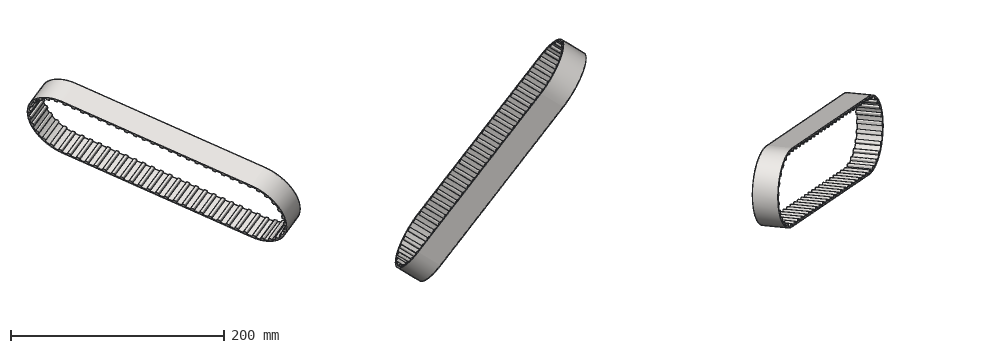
import cadquery as cq
import math

loop_length = 280.5
loop_height = 76.3
belt_width = 25.5

backing_thickness = 1.7
tooth_height = 1.9
tooth_root_width = 4.2
tooth_flank_angle = 20.0
tooth_tip_radius = 0.5
tooth_count = 67

tooth_embed = 0.3

straight_length = loop_length - loop_height
root_radius = loop_height / 2 - backing_thickness
bend_length = math.pi * root_radius
root_line_length = 2 * (straight_length + bend_length)
tooth_pitch = root_line_length / tooth_count
tooth_tip_width = tooth_root_width - 2 * tooth_height * math.tan(math.radians(tooth_flank_angle))


def make_backing():
    """Smooth stadium-shaped band, centred on the origin."""
    inner_height = 2 * root_radius
    return (
        cq.Workplane("XZ")
        .slot2D(loop_length, loop_height)
        .slot2D(straight_length + inner_height, inner_height)
        .extrude(belt_width / 2, both=True)
    )


def make_tooth():
    """One trapezoidal tooth with rounded tip corners, pointing up from its root at Z = 0."""
    half_root = tooth_root_width / 2
    half_tip = tooth_tip_width / 2
    return (
        cq.Workplane("XZ")
        .polyline([
            (-half_root, -tooth_embed),
            (half_root, -tooth_embed),
            (half_root, 0),
            (half_tip, tooth_height),
            (-half_tip, tooth_height),
            (-half_root, 0),
        ])
        .close()
        .extrude(belt_width / 2, both=True)
        .edges("|Y and >Z")
        .fillet(tooth_tip_radius)
        .val()
    )


def root_line_place(distance):
    """X, Z and turn angle at a distance along the root line.

    The distance starts at the middle of the bottom run and increases toward +X.
    """
    half_loop = root_line_length / 2
    on_second_half = distance > half_loop
    if on_second_half:
        distance -= half_loop

    half_straight = straight_length / 2
    if distance <= half_straight:
        x, z, angle = distance, -root_radius, 0.0
    elif distance < half_straight + bend_length:
        turn = (distance - half_straight) / root_radius
        x = half_straight + root_radius * math.sin(turn)
        z = -root_radius * math.cos(turn)
        angle = math.degrees(turn)
    else:
        x = straight_length + bend_length - distance
        z = root_radius
        angle = 180.0

    if on_second_half:
        return -x, -z, angle + 180.0
    return x, z, angle


def make_teeth():
    """All teeth, evenly spaced along the root line and pointing into the loop."""
    tooth = make_tooth()
    teeth = []
    for index in range(tooth_count):
        x, z, angle = root_line_place(index * tooth_pitch)
        turned = tooth.rotate(cq.Vector(0, 0, 0), cq.Vector(0, -1, 0), angle)
        teeth.append(turned.translate(cq.Vector(x, 0, z)))
    return teeth


belt = make_backing().val().fuse(*make_teeth()).clean()
result = cq.Workplane(belt)